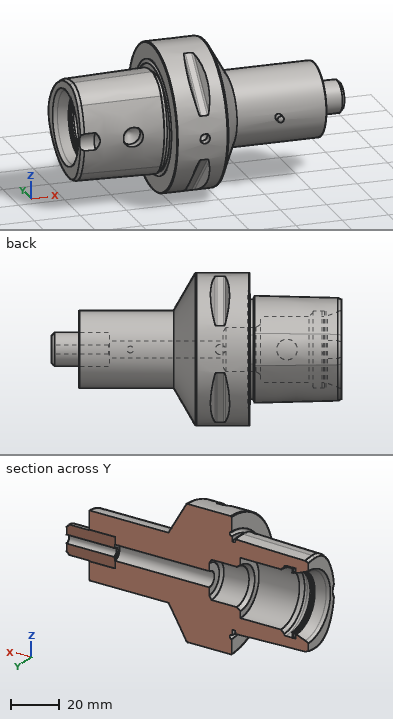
import cadquery as cq
import math


TOTAL_LENGTH = 119.2

SHANK_LENGTH = 35.8
LOBE_REACH = 23.4
SIDE_REACH = 20.7
LOBE_CENTER = 9.9
LOBE_COUNT = 3
TAPER_PER_LENGTH = 1 / 40
SHANK_CHAMFER_LENGTH = 1.5
SHANK_CHAMFER_INSET = 0.7
NECK_TAPER_END = 36.4
NECK_INSET = 1.4

COLLAR_START = 37.5
COLLAR_RADIUS = 22.5
FLANGE_START = 37.8
FLANGE_RADIUS = 31.53
FLANGE_FRONT_CHAMFER = 0.4
FLANGE_EDGE_START = 59.5
CONE_START = 60.2
CONE_START_RADIUS = 31.2
GROOVE_OUTER_RADIUS = 24.3
GROOVE_RADIUS = (GROOVE_OUTER_RADIUS - COLLAR_RADIUS) / 2

NOSE_START = 69.0
NOSE_END = 108.0
NOSE_RADIUS = 16.03
NOSE_CHAMFER = 0.4

MOUTH_RADIUS = 16.3
MOUTH_CHAMFER_RADIUS = 15.5
MOUTH_CHAMFER_LENGTH = 1.7
LIP_START = 6.0
LIP_END = 6.4
LIP_RADIUS = 13.8
RING_GROOVE_END = 11.9
RING_GROOVE_RADIUS = 15.9
RING_GROOVE_FILLET = 0.7
BORE_START = 13.5
BORE_RADIUS = 13.6
BORE_END = 33.4
SEAT_RADIUS = 10.4
SEAT_THROAT_RADIUS = 9.0
SEAT_THROAT_START = 35.3
POCKET_START = 47.7
POCKET_RADIUS = 7.3
POCKET_END = 48.8
CHANNEL_RADIUS = 3.6

RING_START = 7.2
RING_END = 8.2
RING_INNER_RADIUS = 13.6
RING_CHAMFER = 0.3

STUD_START = 95.4
STUD_RADIUS = 7.0
STUD_CHAMFER = 1.4
STUD_HOLE_RADIUS = 1.9
STUD_HOLE_CHAMFER = 0.5

PIN_X = 86.9
PIN_RADIUS = 1.37
PIN_INNER_END = 9.5
PIN_SHOULDER = 19.3
PIN_TIP = 19.7

SLOT_X = 50.0
SLOT_FLOOR_DISTANCE = 28.0
SLOT_FLOOR_WIDTH = 3.8
SLOT_WALL_ANGLE = 30.0
SLOT_FLOOR_FILLET = 1.0
SLOT_COUNT = 4

DRILL_POINT_ANGLE = 118.0
SHANK_HOLE_X = 22.5
SHANK_HOLE_RADIUS = 4.23
SHANK_HOLE_DEPTH = 4.2
FLANGE_HOLE_X = 50.0
FLANGE_HOLE_RADIUS = 2.09
FLANGE_HOLE_DEPTH = 3.6

NOTCH_RADIUS = 5.1
NOTCH_AXIS_Y = -23.2
NOTCH_LENGTH = 6.3


def revolve_about_x(points):
    """Solid of revolution from (x, radius) points; the outline is closed from the last point."""
    return cq.Workplane("XZ").polyline(points).close().revolve(360, (0, 0, 0), (1, 0, 0))


def drill_at_minus_y(x, radius, surface, depth):
    """Drill shape at x, entering from the -Y side, with a pointed end."""
    start = -surface - radius
    shoulder = -surface + depth
    point = shoulder + radius / math.tan(math.radians(DRILL_POINT_ANGLE / 2))
    profile = [(x, start), (x + radius, start), (x + radius, shoulder), (x, point)]
    return cq.Workplane("XY").polyline(profile).close().revolve(360, (x, 0, 0), (x, 1, 0))


def polygon_wire(x, inset):
    """Three-lobed outline at x, moved inward by inset; one lobe points along +Y."""
    pitch = 2 * math.pi / LOBE_COUNT
    difference = LOBE_REACH - SIDE_REACH
    side_center = difference * (2 * LOBE_CENTER - difference) / (LOBE_CENTER - 2 * difference)
    lobe_radius = LOBE_REACH - LOBE_CENTER - inset
    half_lobe = math.atan2(
        side_center * math.sin(pitch / 2),
        LOBE_CENTER + side_center * math.cos(pitch / 2),
    )
    joint_along = LOBE_CENTER + lobe_radius * math.cos(half_lobe)
    joint_across = lobe_radius * math.sin(half_lobe)
    joint_reach = math.hypot(joint_along, joint_across)
    joint_angle = math.atan2(joint_across, joint_along)

    def at(reach, angle):
        return (reach * math.cos(angle), reach * math.sin(angle))

    outline = cq.Workplane("YZ", origin=(x, 0, 0)).moveTo(*at(joint_reach, -joint_angle))
    for lobe in range(LOBE_COUNT):
        angle = lobe * pitch
        outline = outline.threePointArc(
            at(LOBE_REACH - inset, angle), at(joint_reach, angle + joint_angle)
        )
        outline = outline.threePointArc(
            at(SIDE_REACH - inset, angle + pitch / 2), at(joint_reach, angle + pitch - joint_angle)
        )
    return outline.close().val()


def polygon_section(x_start, inset_start, x_end, inset_end):
    """Length of polygon shank between two outlines."""
    wires = [polygon_wire(x_start, inset_start), polygon_wire(x_end, inset_end)]
    return cq.Workplane(cq.Solid.makeLoft(wires, True))


def make_shank():
    taper_inset = (SHANK_LENGTH - SHANK_CHAMFER_LENGTH) * TAPER_PER_LENGTH
    mouth_inset = taper_inset + SHANK_CHAMFER_INSET
    chamfer = polygon_section(0, mouth_inset, SHANK_CHAMFER_LENGTH, taper_inset)
    taper = polygon_section(SHANK_CHAMFER_LENGTH, taper_inset, SHANK_LENGTH, 0)
    step = polygon_section(SHANK_LENGTH, 0, NECK_TAPER_END, NECK_INSET)
    neck = polygon_section(NECK_TAPER_END, NECK_INSET, FLANGE_START, NECK_INSET)
    return chamfer.union(taper).union(step).union(neck)


def make_round_body():
    """Collar, flange, cone and nose."""
    return revolve_about_x([
        (COLLAR_START, 0),
        (COLLAR_START, COLLAR_RADIUS),
        (FLANGE_START, COLLAR_RADIUS),
        (FLANGE_START, FLANGE_RADIUS - FLANGE_FRONT_CHAMFER),
        (FLANGE_START + FLANGE_FRONT_CHAMFER, FLANGE_RADIUS),
        (FLANGE_EDGE_START, FLANGE_RADIUS),
        (CONE_START, CONE_START_RADIUS),
        (NOSE_START, NOSE_RADIUS),
        (NOSE_END - NOSE_CHAMFER, NOSE_RADIUS),
        (NOSE_END, NOSE_RADIUS - NOSE_CHAMFER),
        (NOSE_END, 0),
    ])


def make_face_groove():
    """Half-round ring groove in the flange face, around the collar."""
    middle_radius = (COLLAR_RADIUS + GROOVE_OUTER_RADIUS) / 2
    return (
        cq.Workplane("XZ")
        .moveTo(FLANGE_START, COLLAR_RADIUS)
        .threePointArc((FLANGE_START + GROOVE_RADIUS, middle_radius), (FLANGE_START, GROOVE_OUTER_RADIUS))
        .close()
        .revolve(360, (0, 0, 0), (1, 0, 0))
    )


def make_mouth_bore():
    """Bore from the shank mouth to the seat, with the ring groove behind the lip."""
    fillet_middle = RING_GROOVE_FILLET * math.sqrt(0.5)
    fillet_start = RING_GROOVE_END - RING_GROOVE_FILLET
    fillet_end_radius = RING_GROOVE_RADIUS - RING_GROOVE_FILLET
    return (
        cq.Workplane("XZ")
        .moveTo(0, 0)
        .lineTo(0, MOUTH_RADIUS)
        .lineTo(MOUTH_CHAMFER_LENGTH, MOUTH_CHAMFER_RADIUS)
        .lineTo(LIP_START, LIP_RADIUS)
        .lineTo(LIP_END, LIP_RADIUS)
        .lineTo(LIP_END, RING_GROOVE_RADIUS)
        .lineTo(fillet_start, RING_GROOVE_RADIUS)
        .threePointArc(
            (fillet_start + fillet_middle, fillet_end_radius + fillet_middle),
            (RING_GROOVE_END, fillet_end_radius),
        )
        .lineTo(BORE_START, BORE_RADIUS)
        .lineTo(BORE_END, BORE_RADIUS)
        .lineTo(BORE_END, 0)
        .close()
        .revolve(360, (0, 0, 0), (1, 0, 0))
    )


def make_inner_bore():
    """Seat, pocket, coolant channel and stud hole, from the mouth bore to the nose end."""
    return revolve_about_x([
        (BORE_END, 0),
        (BORE_END, SEAT_RADIUS),
        (SEAT_THROAT_START, SEAT_THROAT_RADIUS),
        (POCKET_START, SEAT_THROAT_RADIUS),
        (POCKET_END, POCKET_RADIUS),
        (POCKET_END, CHANNEL_RADIUS),
        (STUD_START, CHANNEL_RADIUS),
        (STUD_START, STUD_RADIUS),
        (NOSE_END, STUD_RADIUS),
        (NOSE_END, 0),
    ])


def make_rim_slots():
    """Flat-bottomed cross slots with sloping walls, midway between the Y and Z axes."""
    depth = FLANGE_RADIUS - SLOT_FLOOR_DISTANCE
    floor_half = SLOT_FLOOR_WIDTH / 2
    mouth_half = floor_half + depth * math.tan(math.radians(SLOT_WALL_ANGLE))
    profile = [
        (SLOT_X - floor_half, SLOT_FLOOR_DISTANCE),
        (SLOT_X + floor_half, SLOT_FLOOR_DISTANCE),
        (SLOT_X + mouth_half, FLANGE_RADIUS),
        (SLOT_X - mouth_half, FLANGE_RADIUS),
    ]
    slot = cq.Workplane("XZ").polyline(profile).close().extrude(FLANGE_RADIUS, both=True)
    slot = slot.faces("<Z").edges("|Y").fillet(SLOT_FLOOR_FILLET)
    pitch = 360 / SLOT_COUNT
    slots = cq.Workplane()
    for index in range(SLOT_COUNT):
        slots = slots.add(slot.rotate((0, 0, 0), (1, 0, 0), pitch * (index + 0.5)))
    return slots.combine()


def make_notch():
    """Pointed groove along X at the shank mouth, on the -Y side."""
    profile = [
        (0, NOTCH_AXIS_Y),
        (0, NOTCH_AXIS_Y + NOTCH_RADIUS),
        (NOTCH_LENGTH, NOTCH_AXIS_Y + NOTCH_RADIUS),
        (NOTCH_LENGTH + NOTCH_RADIUS, NOTCH_AXIS_Y),
    ]
    return (
        cq.Workplane("XY").polyline(profile).close()
        .revolve(360, (0, NOTCH_AXIS_Y, 0), (1, NOTCH_AXIS_Y, 0))
    )


def make_pin():
    """Round pin with a domed outer end."""
    profile = (
        cq.Workplane("XY")
        .moveTo(PIN_X, -PIN_INNER_END)
        .lineTo(PIN_X + PIN_RADIUS, -PIN_INNER_END)
        .lineTo(PIN_X + PIN_RADIUS, -PIN_SHOULDER)
    )
    rise = PIN_TIP - PIN_SHOULDER
    dome_radius = (PIN_RADIUS**2 + rise**2) / (2 * rise)
    return (
        profile.radiusArc((PIN_X, -PIN_TIP), dome_radius).close()
        .revolve(360, (PIN_X, 0, 0), (PIN_X, 1, 0))
    )


def make_stud():
    """Stud with a chamfered outer end and a hole along its axis."""
    return revolve_about_x([
        (STUD_START, STUD_HOLE_RADIUS + STUD_HOLE_CHAMFER),
        (STUD_START, STUD_RADIUS),
        (TOTAL_LENGTH - STUD_CHAMFER, STUD_RADIUS),
        (TOTAL_LENGTH, STUD_RADIUS - STUD_CHAMFER),
        (TOTAL_LENGTH, STUD_HOLE_RADIUS),
        (STUD_START + STUD_HOLE_CHAMFER, STUD_HOLE_RADIUS),
    ])


def make_retaining_ring():
    """Flat ring, chamfered at its inner edge toward the mouth."""
    return revolve_about_x([
        (RING_START, RING_INNER_RADIUS + RING_CHAMFER),
        (RING_START + RING_CHAMFER, RING_INNER_RADIUS),
        (RING_END, RING_INNER_RADIUS),
        (RING_END, RING_GROOVE_RADIUS),
        (RING_START, RING_GROOVE_RADIUS),
    ])


def make_housing(pin):
    shank_hole = drill_at_minus_y(SHANK_HOLE_X, SHANK_HOLE_RADIUS, SIDE_REACH, SHANK_HOLE_DEPTH)
    flange_hole = drill_at_minus_y(FLANGE_HOLE_X, FLANGE_HOLE_RADIUS, FLANGE_RADIUS, FLANGE_HOLE_DEPTH)
    return (
        make_shank()
        .union(make_round_body())
        .cut(make_face_groove())
        .cut(make_mouth_bore())
        .cut(make_inner_bore())
        .cut(make_rim_slots())
        .cut(shank_hole)
        .cut(flange_hole)
        .cut(make_notch())
        .cut(pin)
    )


pin = make_pin()
stud = make_stud()
retaining_ring = make_retaining_ring()
housing = make_housing(pin)

result = cq.Compound.makeCompound([housing.val(), stud.val(), pin.val(), retaining_ring.val()])